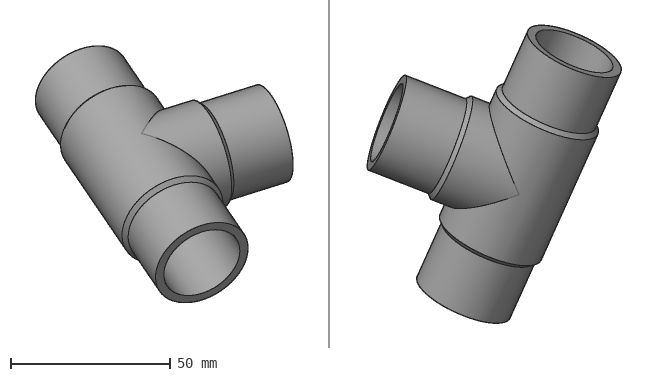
import cadquery as cq

overall_length = 90.0
body_diameter = 34.9
spigot_diameter = 32.0
bore_diameter = 26.3
spigot_length = 20.5

reach = overall_length / 2
body_reach = reach - spigot_length
shoulder_chamfer = (body_diameter - spigot_diameter) / 2

TOWARD_LEFT = (-1, 0, 0)
TOWARD_RIGHT = (1, 0, 0)
TOWARD_BRANCH = (0, 1, 0)
ARM_DIRECTIONS = (TOWARD_LEFT, TOWARD_RIGHT, TOWARD_BRANCH)


def arm_cylinder(direction, diameter, length):
    """Cylinder from the tee centre outward along one arm."""
    plane = cq.Plane(origin=(0, 0, 0), xDir=(0, 0, 1), normal=direction)
    return cq.Workplane(plane).circle(diameter / 2).extrude(length)


def solid_arm(direction):
    """Thick body with a chamfered shoulder, stepping down to the spigot."""
    body = arm_cylinder(direction, body_diameter, body_reach)
    body = body.faces(cq.selectors.DirectionMinMaxSelector(cq.Vector(*direction))).chamfer(shoulder_chamfer)
    return body.union(arm_cylinder(direction, spigot_diameter, reach))


result = cq.Workplane("XY")
for arm_direction in ARM_DIRECTIONS:
    result = result.union(solid_arm(arm_direction))

for arm_direction in ARM_DIRECTIONS:
    result = result.cut(arm_cylinder(arm_direction, bore_diameter, reach))